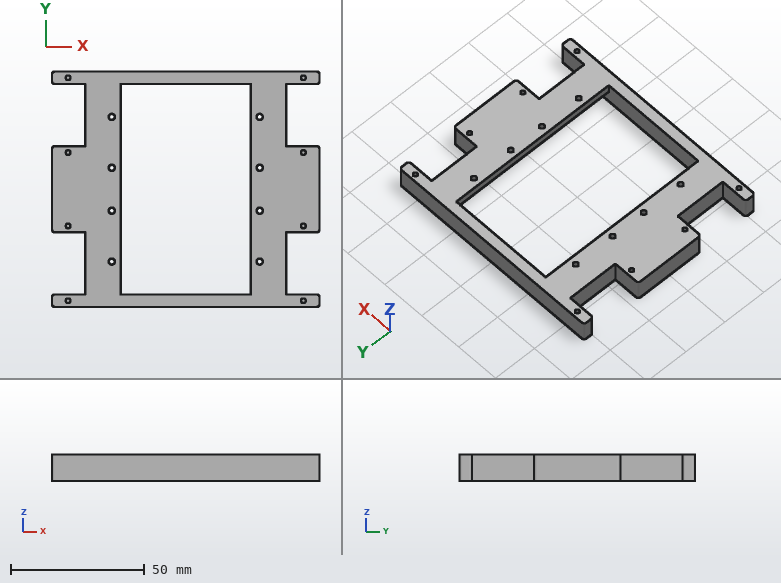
import cadquery as cq

length = 100.0
width = 88.0
thickness = 10.0

rail_width = 4.8
window_length = 48.4
window_width = width - 2 * rail_width
body_length = 75.2
pad_width = 32.2
corner_radius = 1.2

shelf_thickness = 4.0
outer_wall = rail_width
recess_height = thickness - shelf_thickness
recess_length = body_length - 2 * outer_wall

edge_hole_diameter = 1.8
edge_hole_depth = 6.0
edge_hole_x = 43.9
rail_hole_y = 41.6
pad_hole_y = 13.7
frame_hole_diameter = 2.2
frame_hole_x = 27.6
inner_frame_hole_y = 8.0
outer_frame_hole_y = 27.0


def rounded_bar(bar_width, center_y):
    """Full-length bar with rounded vertical edges."""
    bar = cq.Workplane("XY").box(length, bar_width, thickness, centered=(True, True, False))
    return bar.edges("|Z").fillet(corner_radius).translate((0, center_y, 0))


def mirrored_points(x, y_values):
    """Points repeated symmetrically about both center lines."""
    return [(sx * x, sy * y) for y in y_values for sx in (-1, 1) for sy in (-1, 1)]


frame = cq.Workplane("XY").box(body_length, window_width, thickness, centered=(True, True, False))
frame = frame.union(rounded_bar(pad_width, 0))
rail_center_y = (width - rail_width) / 2
for side in (-1, 1):
    frame = frame.union(rounded_bar(rail_width, side * rail_center_y))

window = cq.Workplane("XY").box(window_length, window_width, thickness, centered=(True, True, False))
frame = frame.cut(window)

recess = cq.Workplane("XY").box(recess_length, window_width, recess_height, centered=(True, True, False))
frame = frame.cut(recess)

hole_groups = [
    (edge_hole_diameter, edge_hole_depth, edge_hole_x, (pad_hole_y, rail_hole_y)),
    (frame_hole_diameter, thickness, frame_hole_x, (inner_frame_hole_y, outer_frame_hole_y)),
]
for diameter, depth, hole_x, y_values in hole_groups:
    holes = cq.Workplane("XY").workplane(offset=thickness).pushPoints(mirrored_points(hole_x, y_values))
    frame = frame.cut(holes.circle(diameter / 2).extrude(-depth))

result = frame